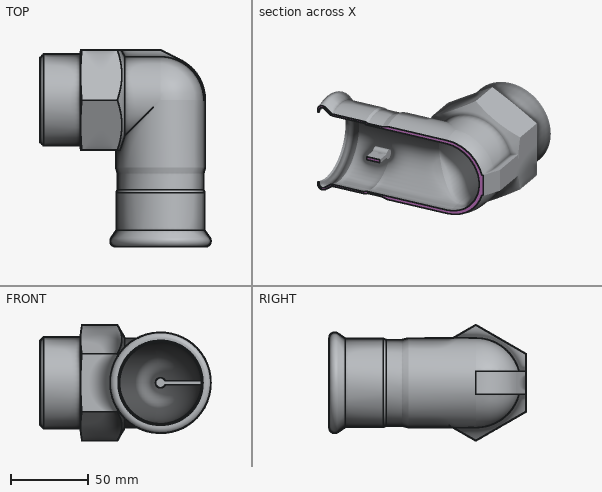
import cadquery as cq
import math

elbow_radius = 58 / 2
thread_bore_radius = 52 / 2
press_bore_radius = 53 / 2
bore_ball_y = thread_bore_radius - press_bore_radius

thread_radius = 59.61 / 2
thread_end_x = -78
thread_chamfer = 2.5
hex_start_x = -52
hex_end_x = -23
hex_sides = 6
hex_across_flats = 65
hex_corner_radius = hex_across_flats / 2 / math.cos(math.pi / hex_sides)
hex_front_setback = 1.1
hex_back_angle = math.radians(30)

rib_width = 15
rib_height = hex_across_flats / 2

press_end_y = -95
lip_cone_y = -84.4
bead_end_y = -59.9
neck_front_y = -58.1
neck_back_y = -47.6
shoulder_y = -43.7
press_radius = 57.5 / 2
neck_radius = 56 / 2
lip_round = 3.69
lip_face_radius = 58 / 2
lip_center_y = press_end_y + lip_round

socket_radius = 54.4 / 2
socket_stop_y = -60
mouth_radius = 55 / 2
mouth_step_y = lip_cone_y
groove_start_y = -85.2
groove_wall = 1.6

pin_radius = 3.25
web_thickness = 2.5
pin_front_y = -59
pin_length = 10


def x_cylinder(radius, start_x, end_x):
    return cq.Workplane("YZ", origin=(start_x, 0, 0)).circle(radius).extrude(end_x - start_x)


def y_cylinder(radius, start_y, end_y):
    return cq.Workplane("XZ", origin=(0, start_y, 0)).circle(radius).extrude(start_y - end_y)


def revolve_about_x(points):
    return cq.Workplane("XY").polyline(points).close().revolve(360, (0, 0, 0), (1, 0, 0))


def ball(radius, center_y):
    return cq.Workplane("XZ", origin=(0, center_y, 0)).sphere(radius)


def hexagon():
    blank = (
        cq.Workplane("YZ", origin=(hex_start_x, 0, 0))
        .polygon(hex_sides, 2 * hex_corner_radius)
        .extrude(hex_end_x - hex_start_x)
        .rotate((0, 0, 0), (1, 0, 0), 90)
    )
    back_setback = (hex_corner_radius - elbow_radius) * math.tan(hex_back_angle)
    envelope = revolve_about_x([
        (hex_start_x, 0),
        (hex_start_x, thread_radius),
        (hex_start_x + hex_front_setback, hex_corner_radius),
        (hex_end_x - back_setback, hex_corner_radius),
        (hex_end_x, elbow_radius),
        (hex_end_x, 0),
    ])
    return blank.intersect(envelope)


def thread():
    return x_cylinder(thread_radius, thread_end_x, hex_start_x).faces("<X").chamfer(thread_chamfer)


def rib():
    tangent_angle = math.asin(elbow_radius / rib_height)
    tangent = (elbow_radius * math.cos(tangent_angle), elbow_radius * math.sin(tangent_angle))
    start_x = hex_end_x - (rib_height - elbow_radius) * math.tan(hex_back_angle)
    mid = tangent_angle / 2
    return (
        cq.Workplane("XY", origin=(0, 0, -rib_width / 2))
        .moveTo(start_x, 0)
        .lineTo(start_x, rib_height)
        .lineTo(0, rib_height)
        .lineTo(*tangent)
        .threePointArc((elbow_radius * math.cos(mid), elbow_radius * math.sin(mid)), (elbow_radius, 0))
        .close()
        .extrude(rib_width)
    )


def arm_profile(points, cone_y, cone_radius, round_radius, lip_y):
    """Solid of revolution about Y: points from the far end, a cone tangent to the lip round, then the lip."""
    dy = cone_y - lip_center_y
    dr = cone_radius - lip_face_radius
    angle = math.atan2(dr, dy) + math.acos(round_radius / math.hypot(dy, dr))
    mid_angle = (angle + math.pi) / 2

    def on_round(a):
        return (lip_face_radius + round_radius * math.sin(a), lip_center_y + round_radius * math.cos(a))

    return (
        cq.Workplane("XY")
        .polyline(points + [(cone_radius, cone_y), on_round(angle)])
        .threePointArc(on_round(mid_angle), on_round(math.pi))
        .lineTo(0, lip_y)
        .close()
        .revolve(360, (0, 0, 0), (0, 1, 0))
    )


def press_arm():
    outline = [
        (0, 0),
        (elbow_radius, 0),
        (elbow_radius, shoulder_y),
        (neck_radius, neck_back_y),
        (neck_radius, neck_front_y),
        (press_radius, bead_end_y),
    ]
    return arm_profile(outline, lip_cone_y, press_radius, lip_round, press_end_y)


def seal_groove():
    outline = [(0, mouth_step_y), (mouth_radius, mouth_step_y)]
    inner_round = lip_round - groove_wall
    return arm_profile(outline, groove_start_y, mouth_radius, inner_round, press_end_y + groove_wall)


def webbed_pin():
    hub = y_cylinder(pin_radius, pin_front_y + pin_length, pin_front_y)
    web = (
        cq.Workplane("XY", origin=(0, pin_front_y, 0))
        .box(press_bore_radius, pin_length, web_thickness, centered=(False, False, True))
    )
    return hub.union(web).intersect(y_cylinder(press_bore_radius, 0, press_end_y))


fitting = (
    press_arm()
    .union(x_cylinder(elbow_radius, hex_end_x, 0))
    .union(ball(elbow_radius, 0))
    .union(rib())
    .union(hexagon())
    .union(thread())
    .cut(x_cylinder(thread_bore_radius, thread_end_x, 0))
    .cut(y_cylinder(press_bore_radius, bore_ball_y, press_end_y))
    .cut(ball(press_bore_radius, bore_ball_y))
    .cut(y_cylinder(socket_radius, socket_stop_y, press_end_y))
    .cut(y_cylinder(mouth_radius, mouth_step_y, press_end_y))
    .cut(seal_groove())
)
pin = webbed_pin()

result = cq.Compound.makeCompound([fitting.val(), pin.val()])